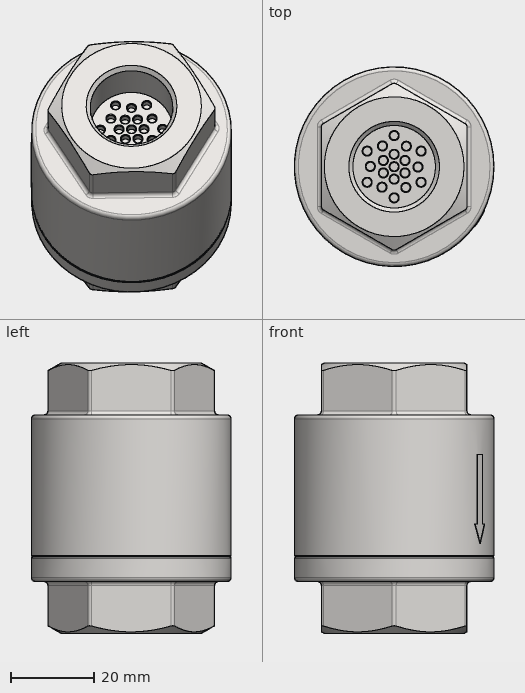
import cadquery as cq
import math

total_height = 65.0
body_height = 40.05
body_radius = 48.0 / 2
hex_height = (total_height - body_height) / 2
body_top = hex_height + body_height

body_edge_fillet = 1.0
joint_z = hex_height + 6.0
joint_groove_width = 0.5
joint_groove_depth = joint_groove_width / 2

hex_across_flats = 35.0
hex_sides = 6
hex_edge_fillet = 1.0
hex_root_fillet = 1.0
hex_end_diameter = 33.55
hex_chamfer_angle = math.radians(30)

port_diameter = 19.8
port_chamfer = 1.0
port_depth = 12.5

sieve_hole_diameter = 2.0
sieve_hole_chamfer = 0.2
sieve_hole_depth = 2.0
sieve_rings = [(3.0, 30), (5.7, -0.7), (7.5, 30)]
holes_per_ring = 6

arrow_angle = -31
arrow_relief = 0.1
arrow_embed = 0.65
arrow_top_z = 42.95
arrow_head_z = 26.3
arrow_tip_z = 21.65
arrow_shaft_width = 2.4
arrow_head_width = 4.5


def make_body():
    """Round body with rounded rims and a V groove at the joint."""
    body = (
        cq.Workplane("XY", origin=(0, 0, hex_height))
        .circle(body_radius)
        .extrude(body_height)
        .edges("%CIRCLE")
        .fillet(body_edge_fillet)
    )
    half_width = joint_groove_width / 2
    groove = (
        cq.Workplane("XZ")
        .moveTo(body_radius, joint_z - half_width)
        .lineTo(body_radius - joint_groove_depth, joint_z)
        .lineTo(body_radius, joint_z + half_width)
        .close()
        .revolve(360, (0, 0, 0), (0, 1, 0))
    )
    return body.cut(groove)


def hex_column():
    """Full-height hexagonal prism with rounded corners."""
    half_side_angle = 180 / hex_sides
    across_corners = hex_across_flats / math.cos(math.radians(half_side_angle))
    return (
        cq.Workplane("XY")
        .polygon(hex_sides, across_corners)
        .extrude(total_height)
        .rotate((0, 0, 0), (0, 0, 1), half_side_angle)
        .edges("|Z")
        .fillet(hex_edge_fillet)
    )


def hex_end_envelope():
    """Turned profile whose conical ends chamfer the hexagon corners."""
    end_radius = hex_end_diameter / 2
    cone_drop = (body_radius - end_radius) * math.tan(hex_chamfer_angle)
    return (
        cq.Workplane("XZ")
        .moveTo(0, 0)
        .lineTo(end_radius, 0)
        .lineTo(body_radius, cone_drop)
        .lineTo(body_radius, total_height - cone_drop)
        .lineTo(end_radius, total_height)
        .lineTo(0, total_height)
        .close()
        .revolve(360, (0, 0, 0), (0, 1, 0))
    )


def fillet_hex_roots(part):
    """Round the inside corners where the hexagons meet the body ends."""
    reach = body_radius - 2 * body_edge_fillet
    half_slab = 0.1
    for z in (hex_height, body_top):
        root_box = cq.selectors.BoxSelector(
            (-reach, -reach, z - half_slab), (reach, reach, z + half_slab), boundingbox=True
        )
        part = part.edges(root_box).fillet(hex_root_fillet)
    return part


def port_cutter():
    """Port bore with its entry chamfer, opening at the top end."""
    port_radius = port_diameter / 2
    return (
        cq.Workplane("XZ")
        .moveTo(0, total_height - port_depth)
        .lineTo(port_radius, total_height - port_depth)
        .lineTo(port_radius, total_height - port_chamfer)
        .lineTo(port_radius + port_chamfer, total_height)
        .lineTo(0, total_height)
        .close()
        .revolve(360, (0, 0, 0), (0, 1, 0))
    )


def sieve_hole():
    """One blind hole with a chamfered rim, sunk into the floor of the top port."""
    hole_radius = sieve_hole_diameter / 2
    floor_z = total_height - port_depth
    return (
        cq.Workplane("XZ")
        .moveTo(0, floor_z)
        .lineTo(hole_radius + sieve_hole_chamfer, floor_z)
        .lineTo(hole_radius, floor_z - sieve_hole_chamfer)
        .lineTo(hole_radius, floor_z - sieve_hole_depth)
        .lineTo(0, floor_z - sieve_hole_depth)
        .close()
        .revolve(360, (0, 0, 0), (0, 1, 0))
    )


def sieve_cutter():
    """Central hole and its surrounding rings of holes."""
    hole = sieve_hole().val()
    cutter = cq.Workplane(hole)
    for radius, start_angle in sieve_rings:
        ring = (
            cq.Workplane("XY")
            .polarArray(radius, start_angle, 360, holes_per_ring)
            .eachpoint(lambda location: hole.located(location))
        )
        cutter = cutter.add(ring)
    return cutter.combine()


def flow_arrow():
    """Raised arrow pointing down, following the curve of the body."""
    half_shaft = arrow_shaft_width / 2
    half_head = arrow_head_width / 2
    outline = (
        cq.Workplane("YZ")
        .moveTo(-half_shaft, arrow_top_z)
        .lineTo(half_shaft, arrow_top_z)
        .lineTo(half_shaft, arrow_head_z)
        .lineTo(half_head, arrow_head_z)
        .lineTo(0, arrow_tip_z)
        .lineTo(-half_head, arrow_head_z)
        .lineTo(-half_shaft, arrow_head_z)
        .close()
        .extrude(2 * body_radius)
    )
    skin = (
        cq.Workplane("XY")
        .circle(body_radius + arrow_relief)
        .circle(body_radius - arrow_embed)
        .extrude(total_height)
    )
    return outline.intersect(skin).rotate((0, 0, 0), (0, 0, 1), arrow_angle)


valve = make_body().union(hex_column())
valve = fillet_hex_roots(valve)
valve = valve.intersect(hex_end_envelope())

top_port = port_cutter()
bottom_port = top_port.mirror("XY").translate((0, 0, total_height))
valve = valve.cut(top_port).cut(bottom_port).cut(sieve_cutter())

result = valve.union(flow_arrow()).solids()